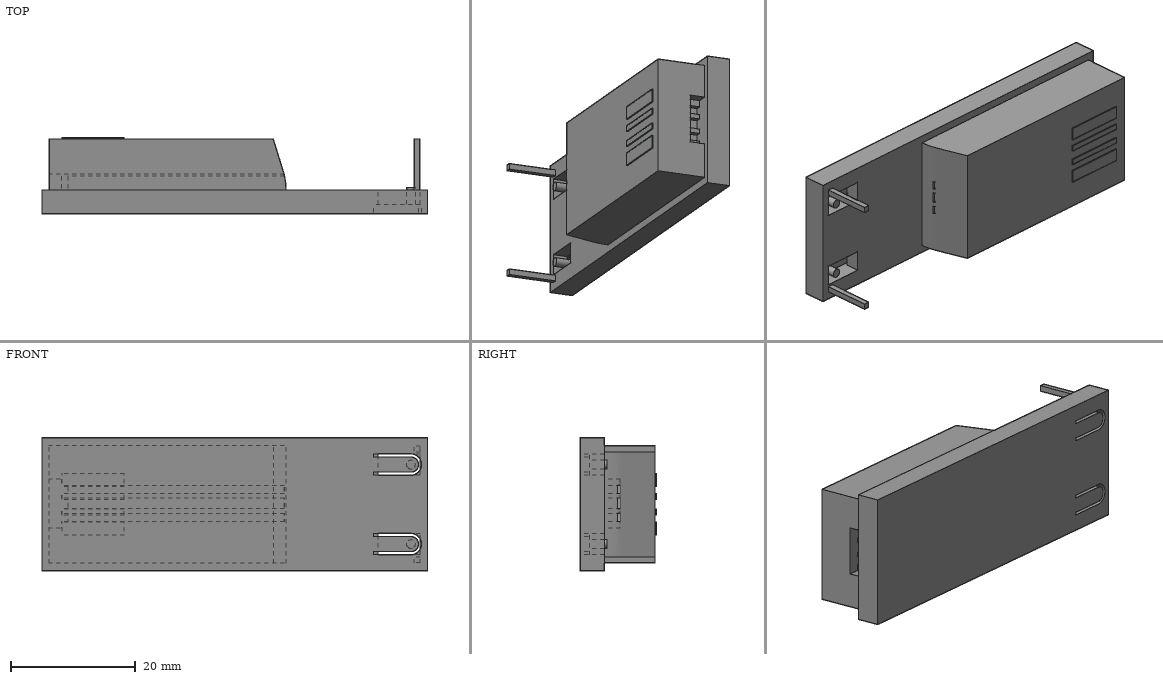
import cadquery as cq
import math

PLATE_LENGTH = 61.9
PLATE_THICKNESS = 3.87
PLATE_HEIGHT = 21.4
MID_Z = PLATE_HEIGHT / 2

OVERALL_DEPTH = 12.23
MARKER_RELIEF = 0.2
HOUSING_BACK = OVERALL_DEPTH - MARKER_RELIEF
HOUSING_START = 1.15
HOUSING_END = 39.2
HOUSING_HEIGHT = 18.9
NOSE_RADIUS = 10.0
NOSE_ANGLE = math.radians(17.2)

RECESS_DEPTH = 2.0
RECESS_RISE = 2.5
RECESS_HEIGHT = 7.9
RECESS_Z = MID_Z + 0.15
CHANNEL_RISE = 0.32
CHANNEL_MOUTH_LENGTH = 1.0
CENTRE_CHANNEL_WIDTH = 1.7
SIDE_CHANNEL_WIDTH = 1.3
CHANNEL_PITCH = 2.25

BAR_START = 3.2
BAR_LENGTH = 10.0
INNER_BAR_OFFSET = 1.25
INNER_BAR_WIDTH = 0.95
OUTER_BAR_OFFSET = 3.9
OUTER_BAR_WIDTH = 2.1

TONGUE_OFFSET = 6.38
TONGUE_WIDTH = 2.46
SLOT_WIDTH = 0.47
SLOT_START = 53.2
SLOT_END = 60.93
SLOT_OUTER_WIDTH = TONGUE_WIDTH + 2 * SLOT_WIDTH
TIP_CENTRE = SLOT_END - SLOT_OUTER_WIDTH / 2
TONGUE_THICKNESS = 1.5
POCKET_START = 53.95
POCKET_END = 60.65
STUD_DIAMETER = 1.41
STUD_HEIGHT = 0.4

PIN_SIZE = 0.95
PIN_CENTRE_X = 60.2
PIN_OFFSET = 8.9


def block(x_start, x_end, y_start, y_end, z_centre, height):
    """Box between two X and two Y positions, centred on a Z height."""
    length = x_end - x_start
    depth = y_end - y_start
    box = cq.Workplane("XY").box(length, depth, height, centered=(False, False, True))
    return box.translate((x_start, y_start, z_centre))


def housing():
    """Box whose far end rises vertically, bends over an arc and slopes to the back."""
    arc_x = HOUSING_END - NOSE_RADIUS * (1 - math.cos(NOSE_ANGLE))
    arc_y = PLATE_THICKNESS + NOSE_RADIUS * math.sin(NOSE_ANGLE)
    back_end = arc_x - (HOUSING_BACK - arc_y) * math.tan(NOSE_ANGLE)
    return (
        cq.Workplane("XY")
        .moveTo(HOUSING_START, PLATE_THICKNESS)
        .lineTo(HOUSING_END, PLATE_THICKNESS)
        .radiusArc((arc_x, arc_y), -NOSE_RADIUS)
        .lineTo(back_end, HOUSING_BACK)
        .lineTo(HOUSING_START, HOUSING_BACK)
        .close()
        .extrude(HOUSING_HEIGHT)
        .translate((0, 0, MID_Z - HOUSING_HEIGHT / 2))
    )


def end_recess():
    """Recess against the plate and the three channels running on through the housing.

    Each channel has a mouth as tall as the recess, then runs on as a shallow passage.
    """
    roof = PLATE_THICKNESS + RECESS_RISE
    recess_end = HOUSING_START + RECESS_DEPTH
    mouth_end = recess_end + CHANNEL_MOUTH_LENGTH
    cut = block(HOUSING_START, recess_end, PLATE_THICKNESS, roof, RECESS_Z, RECESS_HEIGHT)
    channels = (
        (-CHANNEL_PITCH, SIDE_CHANNEL_WIDTH),
        (0, CENTRE_CHANNEL_WIDTH),
        (CHANNEL_PITCH, SIDE_CHANNEL_WIDTH),
    )
    for offset, width in channels:
        channel_z = RECESS_Z + offset
        mouth = block(recess_end, mouth_end, PLATE_THICKNESS, roof, channel_z, width)
        passage = block(mouth_end, HOUSING_END, roof - CHANNEL_RISE, roof, channel_z, width)
        cut = cut.union(mouth).union(passage)
    return cut


def raised_bars():
    """Four shallow bars on the back of the housing, mirrored about mid height."""
    bars = cq.Workplane("XY")
    for side in (-1, 1):
        for offset, width in ((INNER_BAR_OFFSET, INNER_BAR_WIDTH), (OUTER_BAR_OFFSET, OUTER_BAR_WIDTH)):
            bar_z = MID_Z + side * offset
            bar = block(BAR_START, BAR_START + BAR_LENGTH, HOUSING_BACK, OVERALL_DEPTH, bar_z, width)
            bars = bars.union(bar)
    return bars


def cylinder_along_y(diameter, y_start, y_end, z_centre):
    """Cylinder along Y on the tongue tip centre."""
    base = cq.Vector(TIP_CENTRE, y_start, z_centre)
    return cq.Workplane(cq.Solid.makeCylinder(diameter / 2, y_end - y_start, base, cq.Vector(0, 1, 0)))


def tongue_shape(width, z_centre):
    """Tongue-thick strip at the front of the plate, with a semicircular tip."""
    shank = block(SLOT_START, TIP_CENTRE, 0, TONGUE_THICKNESS, z_centre, width)
    return shank.union(cylinder_along_y(width, 0, TONGUE_THICKNESS, z_centre))


def tongue_cut(z_centre):
    """U-shaped slot around a tongue, opening into a pocket behind the tongue."""
    slot = tongue_shape(SLOT_OUTER_WIDTH, z_centre).cut(tongue_shape(TONGUE_WIDTH, z_centre))
    pocket = block(POCKET_START, POCKET_END, TONGUE_THICKNESS, PLATE_THICKNESS, z_centre, SLOT_OUTER_WIDTH)
    return slot.union(pocket)


def stud(z_centre):
    """Round stud on a tongue tip, standing slightly proud of the plate."""
    return cylinder_along_y(STUD_DIAMETER, TONGUE_THICKNESS, PLATE_THICKNESS + STUD_HEIGHT, z_centre)


def pin(z_centre):
    """Square pin rising from the plate to the level of the housing back."""
    half = PIN_SIZE / 2
    return block(PIN_CENTRE_X - half, PIN_CENTRE_X + half, PLATE_THICKNESS, HOUSING_BACK, z_centre, PIN_SIZE)


result = block(0, PLATE_LENGTH, 0, PLATE_THICKNESS, MID_Z, PLATE_HEIGHT)
result = result.union(housing()).cut(end_recess()).union(raised_bars())
for side in (-1, 1):
    tongue_z = MID_Z + side * TONGUE_OFFSET
    result = result.cut(tongue_cut(tongue_z)).union(stud(tongue_z))
    result = result.union(pin(MID_Z + side * PIN_OFFSET))